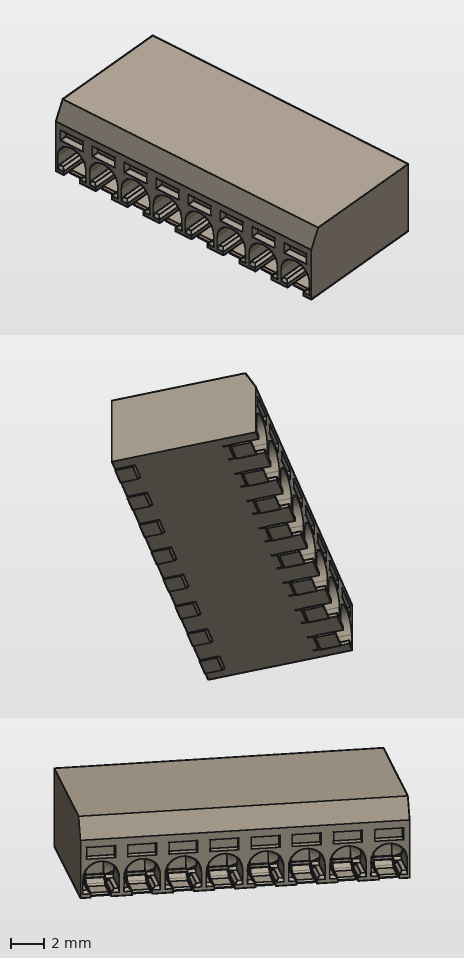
import cadquery as cq

POLES = 8
PITCH = 2.5
LENGTH = POLES * PITCH
DEPTH = 9.0
HEIGHT = 5.0
BEVEL_DEPTH = 0.64
BEVEL_HEIGHT = 1.3

WINDOW_WIDTH = 1.75
WINDOW_BOTTOM = 2.47
WINDOW_TOP = 3.22
WINDOW_DEPTH = 0.5
WINDOW_BACK_TOP = 3.1

TUNNEL_DEPTH = 1.8
ARCH_CENTRE_Z = 1.18
TUNNEL_RADIUS = 1.1
THROAT_RADIUS = 0.56
CONE_DEPTH = TUNNEL_RADIUS - THROAT_RADIUS

LIP_HEIGHT = 0.25
LEDGE_HEIGHT = 0.44
LEDGE_START = LEDGE_HEIGHT - LIP_HEIGHT

UNDERCUT_TOP = 0.95
UNDERCUT_TIP_Z = 0.62
UNDERCUT_END = TUNNEL_DEPTH + UNDERCUT_TOP - UNDERCUT_TIP_Z
UNDERCUT_RAMP_START = UNDERCUT_END - (UNDERCUT_TIP_Z - LEDGE_HEIGHT)

SLOT_WIDTH = 1.24
SLOT_OVERRUN = 0.1
SLOT_END = UNDERCUT_END + SLOT_OVERRUN

CONTACT_WIDTH = 1.12
CONTACT_DROP = 0.1
CONTACT_FRONT = 0.5
CONTACT_TIP_HEIGHT = 0.06
CONTACT_TIP_BEVEL = 0.12
FRONT_FOOT_END = 1.75
REAR_FOOT_LENGTH = 1.1
FOOT_RAMP = 0.15
CONTACT_TOP = CONTACT_TIP_HEIGHT + CONTACT_TIP_BEVEL - CONTACT_DROP
CONTACT_BEND_Z = 0.2
CONTACT_BEND_Y = UNDERCUT_END - (LEDGE_HEIGHT - CONTACT_BEND_Z)
CONTACT_BEND_LENGTH = 0.2


def extrude_side_profile(points, width):
    """Extrude a (Y, Z) outline along X, centred on X = 0."""
    return cq.Workplane("YZ").polyline(points).close().extrude(width / 2, both=True)


def make_housing():
    outline = [
        (0, 0),
        (DEPTH, 0),
        (DEPTH, HEIGHT),
        (BEVEL_DEPTH, HEIGHT),
        (0, HEIGHT - BEVEL_HEIGHT),
    ]
    return extrude_side_profile(outline, LENGTH)


def make_window():
    outline = [
        (0, WINDOW_BOTTOM),
        (WINDOW_DEPTH, WINDOW_BOTTOM),
        (WINDOW_DEPTH, WINDOW_BACK_TOP),
        (0, WINDOW_TOP),
    ]
    return extrude_side_profile(outline, WINDOW_WIDTH)


def make_arch(radius, bottom, depth):
    """Round-topped prism running from the front face to the given depth."""
    return (
        cq.Workplane("XZ")
        .moveTo(-radius, bottom)
        .lineTo(-radius, ARCH_CENTRE_Z)
        .threePointArc((0, ARCH_CENTRE_Z + radius), (radius, ARCH_CENTRE_Z))
        .lineTo(radius, bottom)
        .close()
        .extrude(-depth)
    )


def make_cone():
    """Cone behind the tunnel, kept above the tip of the undercut."""
    solid = cq.Solid.makeCone(
        TUNNEL_RADIUS,
        THROAT_RADIUS,
        CONE_DEPTH,
        pnt=cq.Vector(0, TUNNEL_DEPTH, ARCH_CENTRE_Z),
        dir=cq.Vector(0, 1, 0),
    )
    floor = cq.Workplane("XY").box(
        2 * TUNNEL_RADIUS, DEPTH, UNDERCUT_TIP_Z, centered=(True, False, False)
    )
    return cq.Workplane(solid).cut(floor)


def make_undercut():
    """Space over the lip and ledge, tapering to a V behind the tunnel."""
    outline = [
        (0, UNDERCUT_TOP),
        (0, LIP_HEIGHT),
        (LEDGE_START, LEDGE_HEIGHT),
        (UNDERCUT_RAMP_START, LEDGE_HEIGHT),
        (UNDERCUT_END, UNDERCUT_TIP_Z),
        (TUNNEL_DEPTH, UNDERCUT_TOP),
    ]
    return extrude_side_profile(outline, 2 * TUNNEL_RADIUS)


def make_wire_groove():
    """Round bore of the tunnel, rounding off the ledges beside the slot."""
    return (
        cq.Workplane("XZ")
        .center(0, ARCH_CENTRE_Z)
        .circle(TUNNEL_RADIUS)
        .extrude(-TUNNEL_DEPTH)
    )


def make_slot():
    return cq.Workplane("XY").box(
        SLOT_WIDTH, SLOT_END, UNDERCUT_TIP_Z, centered=(True, False, False)
    )


def make_front_contact():
    outline = [
        (CONTACT_FRONT, -CONTACT_DROP),
        (FRONT_FOOT_END, -CONTACT_DROP),
        (FRONT_FOOT_END + FOOT_RAMP, 0),
        (SLOT_END, 0),
        (SLOT_END, LEDGE_HEIGHT),
        (UNDERCUT_END, LEDGE_HEIGHT),
        (CONTACT_BEND_Y, CONTACT_BEND_Z),
        (CONTACT_BEND_Y - CONTACT_BEND_LENGTH, CONTACT_TOP),
        (CONTACT_FRONT + CONTACT_TIP_BEVEL, CONTACT_TOP),
        (CONTACT_FRONT, CONTACT_TIP_HEIGHT - CONTACT_DROP),
    ]
    return extrude_side_profile(outline, CONTACT_WIDTH)


def make_rear_foot():
    foot_start = DEPTH - REAR_FOOT_LENGTH
    outline = [
        (foot_start - FOOT_RAMP, 0),
        (foot_start, -CONTACT_DROP),
        (DEPTH, -CONTACT_DROP),
        (DEPTH, 0),
    ]
    return extrude_side_profile(outline, CONTACT_WIDTH)


def make_pole_cut():
    cut = make_window()
    cut = cut.union(make_arch(TUNNEL_RADIUS, UNDERCUT_TOP, TUNNEL_DEPTH))
    cut = cut.union(make_arch(THROAT_RADIUS, UNDERCUT_TIP_Z, TUNNEL_DEPTH + CONE_DEPTH))
    cut = cut.union(make_cone())
    cut = cut.union(make_undercut())
    cut = cut.union(make_wire_groove())
    return cut.union(make_slot())


pole_cut = make_pole_cut()
pole_contacts = [make_front_contact(), make_rear_foot()]

result = make_housing()
for pole in range(POLES):
    offset = ((pole - (POLES - 1) / 2) * PITCH, 0, 0)
    result = result.cut(pole_cut.translate(offset))
    for contact in pole_contacts:
        result = result.union(contact.translate(offset))